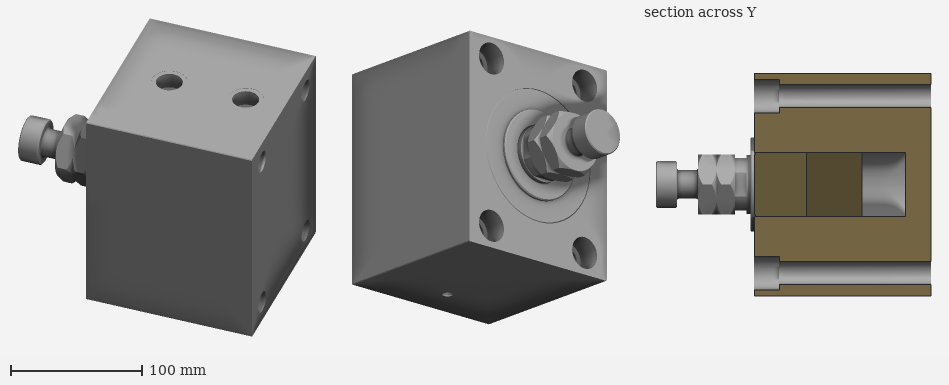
import cadquery as cq
import math

BLOCK_LENGTH = 135.0
BLOCK_WIDTH = 140.0
BLOCK_HEIGHT = 170.0
BLOCK_EDGE_CHAMFER = 0.6
PROTRUSION = 210.0 - BLOCK_LENGTH

BOLT_SPACING_Y = 95.0
BOLT_SPACING_Z = 135.0
BOLT_HOLE_DIAMETER = 17.2
BOLT_HEAD_DIAMETER = 25.5
BOLT_HEAD_DEPTH = 19.0

FRONT_PORT_X = 41.8
REAR_PORT_X = 104.0
PORT_SPOTFACE_DIAMETER = 28.0
PORT_SPOTFACE_DEPTH = 0.2
PORT_THREAD_DIAMETER = 20.5
PORT_THREAD_DEPTH = 13.0
PORT_DRILL_DIAMETER = 8.6

BORE_RADIUS = 53.3
BORE_REAR_WALL = 20.0
BORE_DEPTH = BLOCK_LENGTH - BORE_REAR_WALL
GLAND_LENGTH = 40.1
GLAND_CHAMFER = 0.8
GLAND_BOSS_RADIUS = 36.0
GLAND_BOSS_HEIGHT = 3.0
GLAND_BOSS_CHAMFER = 0.8
GLAND_HOLE_CHAMFER = 1.3
PISTON_LENGTH = 42.0

ROD_RADIUS = 22.5
ROD_TIP_RADIUS = 22.0
ROD_FLAT_LENGTH = 9.0
ROD_FLAT_WIDTH = 40.1

HEAD_RADIUS = 17.8
HEAD_LENGTH = 16.2
HEAD_CHAMFER = 0.8
NECK_RADIUS = 11.0
NECK_LENGTH = 16.0
NECK_FILLET = 1.5
HEX_COUNT = 2
HEX_WIDTH = 46.0
HEX_LENGTH = 14.0
HEX_CHAMFER_ANGLE = 45.0

COUPLING_START = -PROTRUSION
NECK_START = COUPLING_START + HEAD_LENGTH
HEX_START = NECK_START + NECK_LENGTH
ROD_START = HEX_START + HEX_COUNT * HEX_LENGTH


def axial_cylinder(x_start, length, radius):
    """Cylinder around the X axis that starts at x_start."""
    return cq.Workplane("YZ", origin=(x_start, 0, 0)).circle(radius).extrude(length)


def port_cut(x, drill_end_z):
    """Stepped vertical hole from the top face down to drill_end_z."""
    top = BLOCK_HEIGHT / 2

    def step(diameter, bottom_z):
        return cq.Workplane("XY", origin=(x, 0, bottom_z)).circle(diameter / 2).extrude(top - bottom_z)

    spotface = step(PORT_SPOTFACE_DIAMETER, top - PORT_SPOTFACE_DEPTH)
    thread = step(PORT_THREAD_DIAMETER, top - PORT_THREAD_DEPTH)
    drill = step(PORT_DRILL_DIAMETER, drill_end_z)
    return spotface.union(thread).union(drill)


def make_block():
    """Block with chamfered edges along X, a blind bore, four bolt holes and two ports."""
    block = cq.Workplane("XY").box(BLOCK_LENGTH, BLOCK_WIDTH, BLOCK_HEIGHT, centered=(False, True, True))
    block = block.edges("|X").chamfer(BLOCK_EDGE_CHAMFER)
    block = (
        block.faces("<X").workplane(centerOption="CenterOfBoundBox")
        .rect(BOLT_SPACING_Y, BOLT_SPACING_Z, forConstruction=True).vertices()
        .cboreHole(BOLT_HOLE_DIAMETER, BOLT_HEAD_DIAMETER, BOLT_HEAD_DEPTH)
    )
    block = block.cut(axial_cylinder(0, BORE_DEPTH, BORE_RADIUS))
    block = block.cut(port_cut(FRONT_PORT_X, 0))
    return block.cut(port_cut(REAR_PORT_X, -BLOCK_HEIGHT / 2))


def make_gland():
    """Plug that closes the bore, with a raised boss around the rod."""
    plug = axial_cylinder(0, GLAND_LENGTH, BORE_RADIUS).faces("<X").chamfer(GLAND_CHAMFER)
    boss = axial_cylinder(-GLAND_BOSS_HEIGHT, GLAND_BOSS_HEIGHT, GLAND_BOSS_RADIUS)
    boss = boss.faces("<X").chamfer(GLAND_BOSS_CHAMFER)
    rod_hole = axial_cylinder(-GLAND_BOSS_HEIGHT, GLAND_LENGTH + GLAND_BOSS_HEIGHT, ROD_RADIUS)
    gland = plug.union(boss).cut(rod_hole)
    hole_edge = gland.faces("<X").edges(cq.selectors.RadiusNthSelector(0))
    return hole_edge.chamfer(GLAND_HOLE_CHAMFER)


def make_piston_rod():
    """Rod with four wrench flats on its slightly thinner tip and a piston behind the gland."""
    flats_end = ROD_START + ROD_FLAT_LENGTH
    flats = axial_cylinder(ROD_START, ROD_FLAT_LENGTH, ROD_TIP_RADIUS).intersect(
        cq.Workplane("YZ", origin=(ROD_START, 0, 0))
        .rect(ROD_FLAT_WIDTH, ROD_FLAT_WIDTH).extrude(ROD_FLAT_LENGTH)
    )
    shaft = axial_cylinder(flats_end, GLAND_LENGTH - flats_end, ROD_RADIUS)
    piston = axial_cylinder(GLAND_LENGTH, PISTON_LENGTH, BORE_RADIUS)
    return flats.union(shaft).union(piston)


def make_hexagon(x_start):
    """Hexagon with flats up and down and its corners chamfered at both ends."""
    corner_diameter = HEX_WIDTH / math.cos(math.radians(30))
    corner_height = (corner_diameter - HEX_WIDTH) / 2
    chamfer_length = corner_height / math.tan(math.radians(HEX_CHAMFER_ANGLE))
    prism = (
        cq.Workplane("YZ", origin=(x_start, 0, 0))
        .polygon(6, corner_diameter).extrude(HEX_LENGTH)
    )
    envelope = axial_cylinder(x_start, HEX_LENGTH, corner_diameter / 2)
    envelope = envelope.faces("<X or >X").chamfer(chamfer_length, corner_height)
    return prism.intersect(envelope)


def make_coupling():
    """T-head on a filleted neck, ending in two hexagons side by side."""
    head = axial_cylinder(COUPLING_START, HEAD_LENGTH, HEAD_RADIUS)
    head = head.faces("<X or >X").chamfer(HEAD_CHAMFER)
    flare_radius = NECK_RADIUS + NECK_FILLET
    arc_offset = NECK_FILLET * (1 - math.sqrt(0.5))
    arc_middle_radius = NECK_RADIUS + arc_offset
    neck = (
        cq.Workplane("XY")
        .moveTo(NECK_START, 0)
        .lineTo(NECK_START, flare_radius)
        .threePointArc(
            (NECK_START + arc_offset, arc_middle_radius),
            (NECK_START + NECK_FILLET, NECK_RADIUS),
        )
        .lineTo(HEX_START - NECK_FILLET, NECK_RADIUS)
        .threePointArc(
            (HEX_START - arc_offset, arc_middle_radius),
            (HEX_START, flare_radius),
        )
        .lineTo(HEX_START, 0)
        .close()
        .revolve(360, (0, 0, 0), (1, 0, 0))
    )
    coupling = head.union(neck)
    for index in range(HEX_COUNT):
        coupling = coupling.union(make_hexagon(HEX_START + index * HEX_LENGTH))
    return coupling


block = make_block()
gland = make_gland()
piston_rod = make_piston_rod()
coupling = make_coupling()

bodies = [block, gland, piston_rod, coupling]
result = cq.Compound.makeCompound([body.solids().val() for body in bodies])